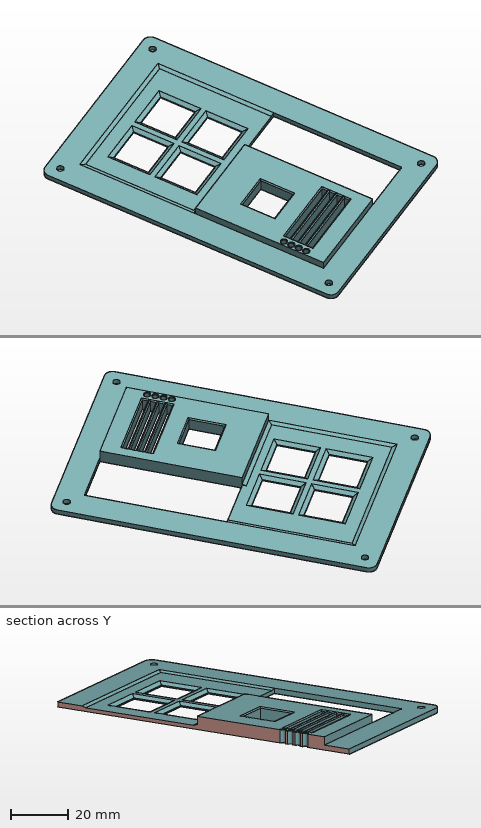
import cadquery as cq
PLATE_LENGTH = 118.5
PLATE_WIDTH = 75.0
PLATE_THICKNESS = 2.0
CORNER_RADIUS = 3.0
SCREW_HOLE_DIAMETER = 2.53
SCREW_HOLE_INSET = 5.0

BORDER_WIDTH = 10.0
FIELD_LENGTH = PLATE_LENGTH - 2 * BORDER_WIDTH
FIELD_WIDTH = PLATE_WIDTH - 2 * BORDER_WIDTH
FIELD_LEFT = -FIELD_LENGTH / 2
FIELD_RIGHT = FIELD_LENGTH / 2
FIELD_BOTTOM = -FIELD_WIDTH / 2
FIELD_TOP = FIELD_WIDTH / 2
PANEL_RIGHT = -2.5

TOTAL_HEIGHT = 5.0
BLOCK_TOP = 7.1

RECESS_DEPTH = 0.5
RECESS_SLOPE_WIDTH = 1.5
PANEL_FLOOR = PLATE_THICKNESS - RECESS_DEPTH

KEY_PITCH = 19.0
KEY_CENTER = (-24.75, -1.1)
KEY_SIZE = 14.0
KEY_FLARE_WIDTH = 1.5
KEY_FLARE_DEPTH = 1.0

BLOCK_CHAMFER = 0.45

SENSOR_CENTER = (17.25, -11.1)
SENSOR_SIZE = 13.0

SLOT_COUNT = 4
SLOT_PITCH = 3.0
SLOT_ROW_CENTER = (36.75, -10.1)
SLOT_WIDTH = 2.0
SLOT_LENGTH = 26.0
LIGHT_HOLE_DIAMETER = 2.0
LIGHT_HOLE_TOP_DIAMETER = 2.53
LIGHT_HOLE_Y = -25.8


def box_between(left, bottom, right, top, floor, ceiling):
    """Box given by its X, Y and Z limits."""
    size = (right - left, top - bottom, ceiling - floor)
    return cq.Workplane("XY").box(*size, centered=False).translate((left, bottom, floor))


def frustum(center, bottom_size, top_size, floor, ceiling):
    """Rectangular frustum with given (X, Y) sizes at its lower and upper ends."""
    return (
        cq.Workplane("XY", origin=(center[0], center[1], floor))
        .rect(*bottom_size)
        .workplane(offset=ceiling - floor)
        .rect(*top_size)
        .loft(ruled=True)
    )


def flared_opening(center, size, flare_width, flare_depth, ceiling):
    """Straight rectangular opening from the underside that flares out below the ceiling."""
    flare_floor = ceiling - flare_depth
    flared_size = (size[0] + 2 * flare_width, size[1] + 2 * flare_width)
    straight = frustum(center, size, size, 0, flare_floor)
    return straight.union(frustum(center, size, flared_size, flare_floor, ceiling))


def base_plate():
    """Rounded plate with a screw hole near every corner."""
    return (
        cq.Workplane("XY")
        .box(PLATE_LENGTH, PLATE_WIDTH, PLATE_THICKNESS, centered=(True, True, False))
        .edges("|Z")
        .fillet(CORNER_RADIUS)
        .faces(">Z")
        .workplane()
        .rect(PLATE_LENGTH - 2 * SCREW_HOLE_INSET, PLATE_WIDTH - 2 * SCREW_HOLE_INSET, forConstruction=True)
        .vertices()
        .hole(SCREW_HOLE_DIAMETER)
    )


def panel_recess():
    """Shallow recess with sloped sides that stays level up to the open window."""
    length = PANEL_RIGHT - FIELD_LEFT
    center = ((FIELD_LEFT + PANEL_RIGHT) / 2, 0)
    inset = 2 * RECESS_SLOPE_WIDTH
    sloped = frustum(
        center, (length - inset, FIELD_WIDTH - inset), (length, FIELD_WIDTH), PANEL_FLOOR, PLATE_THICKNESS
    )
    beside_window = (
        cq.Workplane("YZ", origin=(center[0], 0, 0))
        .moveTo(BLOCK_TOP, PANEL_FLOOR)
        .lineTo(FIELD_TOP - RECESS_SLOPE_WIDTH, PANEL_FLOOR)
        .lineTo(FIELD_TOP, PLATE_THICKNESS)
        .lineTo(BLOCK_TOP, PLATE_THICKNESS)
        .close()
        .extrude(PANEL_RIGHT - center[0])
    )
    return sloped.union(beside_window)


def key_openings():
    """Two by two grid of flared key openings."""
    openings = cq.Workplane("XY")
    for column in (-0.5, 0.5):
        for row in (-0.5, 0.5):
            center = (KEY_CENTER[0] + column * KEY_PITCH, KEY_CENTER[1] + row * KEY_PITCH)
            opening = flared_opening(
                center, (KEY_SIZE, KEY_SIZE), KEY_FLARE_WIDTH, KEY_FLARE_DEPTH, PANEL_FLOOR
            )
            openings = openings.add(opening)
    return openings.combine()


def block_opening(center, size):
    """Rectangular opening through the block with a chamfered top edge."""
    return flared_opening(center, size, BLOCK_CHAMFER, BLOCK_CHAMFER, TOTAL_HEIGHT)


def light_hole(x):
    """Round hole through the block with a chamfered top edge."""
    radius = LIGHT_HOLE_DIAMETER / 2
    top_radius = LIGHT_HOLE_TOP_DIAMETER / 2
    chamfer_floor = TOTAL_HEIGHT - (top_radius - radius)
    return (
        cq.Workplane("XZ", origin=(x, LIGHT_HOLE_Y, 0))
        .lineTo(radius, 0)
        .lineTo(radius, chamfer_floor)
        .lineTo(top_radius, TOTAL_HEIGHT)
        .lineTo(0, TOTAL_HEIGHT)
        .close()
        .revolve(360, (0, 0, 0), (0, 1, 0))
    )


block = box_between(PANEL_RIGHT, FIELD_BOTTOM, FIELD_RIGHT, BLOCK_TOP, 0, TOTAL_HEIGHT)
window = box_between(PANEL_RIGHT, BLOCK_TOP, FIELD_RIGHT, FIELD_TOP, 0, PLATE_THICKNESS)

result = (
    base_plate()
    .cut(panel_recess())
    .cut(window)
    .union(block)
    .cut(key_openings())
    .cut(block_opening(SENSOR_CENTER, (SENSOR_SIZE, SENSOR_SIZE)))
)
for index in range(SLOT_COUNT):
    slot_x = SLOT_ROW_CENTER[0] + (index - (SLOT_COUNT - 1) / 2) * SLOT_PITCH
    result = result.cut(block_opening((slot_x, SLOT_ROW_CENTER[1]), (SLOT_WIDTH, SLOT_LENGTH)))
    result = result.cut(light_hole(slot_x))